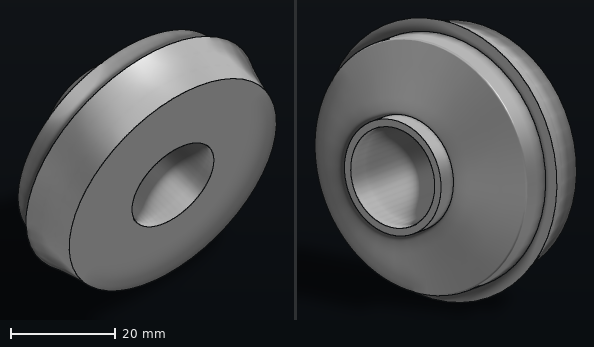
import cadquery as cq

hub_length = 4.0
cone_length = 5.0
collar_length = 6.0
flange_length = 10.0

bore_radius = 10.0
hub_radius = 11.5
collar_radius = 25.33
flange_radius = 28.0
flange_end_radius = collar_radius

flange_rim_sag = 0.25
cone_edge_fillet = 0.5

hub_start = 0.0
cone_start = hub_start + hub_length
collar_start = cone_start + cone_length
flange_start = collar_start + collar_length
flange_end = flange_start + flange_length


def revolved_body():
    """Bored hub, cone, collar and concave flared flange as one revolved ring."""
    rim_middle_x = (flange_start + flange_end) / 2
    rim_middle_radius = (flange_radius + flange_end_radius) / 2 - flange_rim_sag
    profile = (
        cq.Workplane("XZ")
        .moveTo(hub_start, bore_radius)
        .lineTo(hub_start, hub_radius)
        .lineTo(cone_start, hub_radius)
        .lineTo(collar_start, collar_radius)
        .lineTo(flange_start, collar_radius)
        .lineTo(flange_start, flange_radius)
        .threePointArc((rim_middle_x, rim_middle_radius), (flange_end, flange_end_radius))
        .lineTo(flange_end, bore_radius)
        .close()
    )
    return profile.revolve(360, (0, 0, 0), (1, 0, 0))


def round_cone_edge(body):
    """Round the circular edge where the cone meets the collar."""
    margin = 0.1
    reach = collar_radius + margin
    edge_zone = cq.selectors.BoxSelector(
        (collar_start - margin, -reach, -reach),
        (collar_start + margin, reach, reach),
        boundingbox=True,
    )
    return body.edges(edge_zone).fillet(cone_edge_fillet)


result = round_cone_edge(revolved_body())